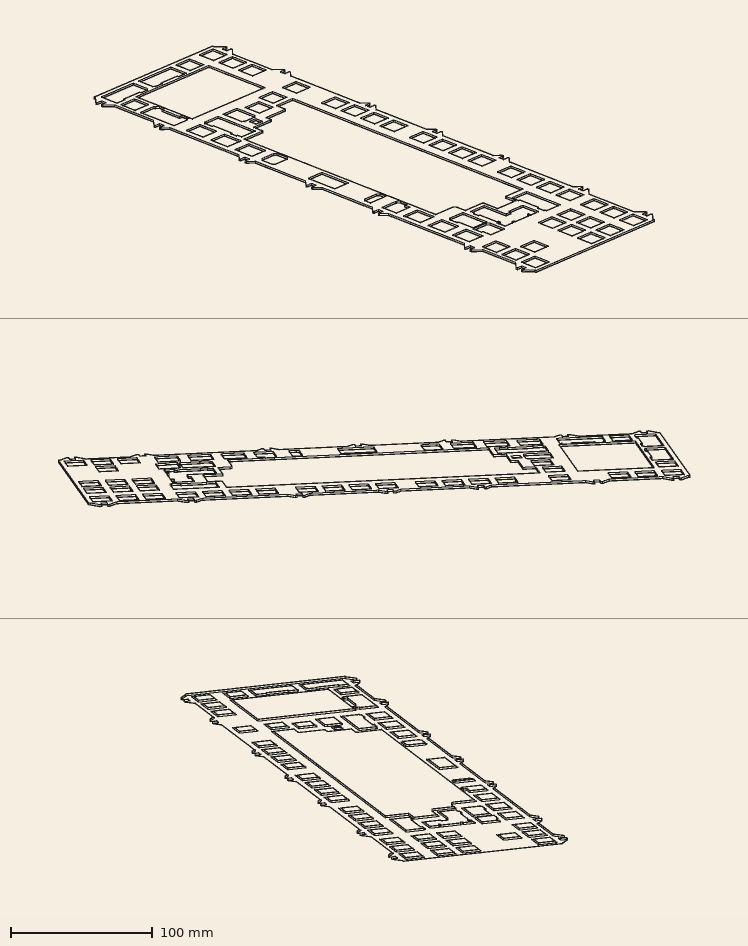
import cadquery as cq


LENGTH = 430.5
DEPTH_OVER_TABS = 132.0
THICKNESS = 1.5
END_EDGE_Y = 60.5
MIDDLE_EDGE_Y = 61.5

END_KEY_SPAN = 409.5
END_COLUMN = 10.75
PITCH = END_KEY_SPAN / (2 * END_COLUMN)
KEY_GAP = 5.0
KEY = PITCH - KEY_GAP
HALF_KEY = KEY / 2

ROW_1 = 2.625
ROW_2 = 1.375
ROW_3 = 0.375
ROW_4 = -0.625
ROW_5 = -1.625
ROW_6 = -2.625

NUMPAD_COLUMNS = [-10.75, -9.75, -8.75]
FUNCTION_COLUMNS = [-6.5, -4.5, -3.5, -2.5, -1.5, 0, 1, 2, 3, 4.5, 5.5, 6.5, 7.5]
NAVIGATION_COLUMNS = [8.75, 9.75, 10.75]
KEY_COLUMNS_BY_ROW = {
    ROW_1: NUMPAD_COLUMNS + FUNCTION_COLUMNS + NAVIGATION_COLUMNS,
    ROW_2: [-10.75, -6.5] + NAVIGATION_COLUMNS,
    ROW_3: [-6.25] + NAVIGATION_COLUMNS,
    ROW_5: [9.75],
    ROW_6: [-9.75, 3.625] + NAVIGATION_COLUMNS,
}
MODIFIER_COLUMNS = [-6.375, -5.125, -3.875, 4.75, 6, 7.25]
NUMPAD_ZERO_COLUMN = -8.25
BACKSPACE_COLUMN = 7
MODIFIER_WIDTH = 16.5
MODIFIER_SHIFT = 1.0
LEFT_MODIFIERS_X = -129.0

TAB_TIP_WIDTH = 7.0
TAB_SLOT_WIDTH = 4.5
END_TAB_X = END_KEY_SPAN / 2
SECOND_TAB_X = -148.0
MIDDLE_TAB_X = 65.0
BACK_RIGHT_TAB_X = 142.5
FRONT_RIGHT_TAB_X = 154.5
SHARED_TABS_X = [-END_TAB_X, SECOND_TAB_X, -MIDDLE_TAB_X, 0, MIDDLE_TAB_X, END_TAB_X]

OPENING_BACK_Y = 34.5
OPENING_FRONT_Y = -39.5
NUMPAD_OPENING_LEFT = -194.0
NUMPAD_OPENING_RIGHT = -139.5

DOUBLE_KEY_LENGTH = 32.7
FOOT_DEPTH = 1.5
DEEP_FOOT_DEPTH = 2.5
FOOT_CORNER = 1.7


def box(x_min, x_max, y_min, y_max):
    """Block through the sheet thickness, given by its limits in X and Y."""
    size_x = x_max - x_min
    size_y = y_max - y_min
    block = cq.Workplane("XY").box(size_x, size_y, THICKNESS, centered=False)
    return block.translate((x_min, y_min, 0))


def prism(points):
    return cq.Workplane("XY").polyline(points).close().extrude(THICKNESS)


def row_box(row, x_min, x_max):
    """Cut-out as deep as a key, lying on one key row."""
    y = row * PITCH
    return box(x_min, x_max, y - HALF_KEY, y + HALF_KEY)


def front_foot(row, x_min, x_max):
    """Shallow recess on the front side of a key row."""
    front = row * PITCH - HALF_KEY
    return box(x_min, x_max, front - FOOT_DEPTH, front + FOOT_DEPTH)


def back_foot(row, x_min, x_max):
    """Deeper recess on the back side of a key row."""
    back = row * PITCH + HALF_KEY
    return box(x_min, x_max, back - FOOT_DEPTH, back + DEEP_FOOT_DEPTH)


def edge_tabs(side, positions):
    """Slotted 45 degree tabs on the back (side = 1) or front (side = -1) edge."""
    tip_y = DEPTH_OVER_TABS / 2
    half_tip = TAB_TIP_WIDTH / 2
    half_base = half_tip + tip_y - END_EDGE_Y
    half_slot = TAB_SLOT_WIDTH / 2
    profile = [
        (-half_base, END_EDGE_Y),
        (-half_tip, tip_y),
        (-half_slot, tip_y),
        (-half_slot, MIDDLE_EDGE_Y),
        (half_slot, MIDDLE_EDGE_Y),
        (half_slot, tip_y),
        (half_tip, tip_y),
        (half_base, END_EDGE_Y),
    ]
    return [prism([(x + dx, side * y) for dx, y in profile]) for x in positions]


def sheet():
    half_length = LENGTH / 2
    body = box(-half_length, half_length, -END_EDGE_Y, END_EDGE_Y)
    body = body.union(box(SECOND_TAB_X, BACK_RIGHT_TAB_X, 0, MIDDLE_EDGE_Y))
    body = body.union(box(SECOND_TAB_X, FRONT_RIGHT_TAB_X, -MIDDLE_EDGE_Y, 0))
    tabs = edge_tabs(1, SHARED_TABS_X + [BACK_RIGHT_TAB_X])
    tabs += edge_tabs(-1, SHARED_TABS_X + [FRONT_RIGHT_TAB_X])
    for tab in tabs:
        body = body.union(tab)
    return body


def key_holes():
    centres = [(c * PITCH, row * PITCH) for row, columns in KEY_COLUMNS_BY_ROW.items() for c in columns]
    return cq.Workplane("XY").pushPoints(centres).rect(KEY, KEY).extrude(THICKNESS)


def modifier_holes():
    centres = [(column * PITCH + MODIFIER_SHIFT, ROW_6 * PITCH) for column in MODIFIER_COLUMNS]
    return cq.Workplane("XY").pushPoints(centres).rect(MODIFIER_WIDTH, KEY).extrude(THICKNESS)


def numpad_opening():
    return box(NUMPAD_OPENING_LEFT, NUMPAD_OPENING_RIGHT, OPENING_FRONT_Y, OPENING_BACK_Y)


def main_opening():
    """Large opening whose stepped ends follow the stagger of the key rows."""
    left_row_2_x, left_row_3_x, left_row_4_x, left_row_5_x = -112.5, -103.5, -98.0, -89.0
    right_row_2_x, right_row_3_x, right_row_4_x, right_row_5_x = 112.0, 122.5, 108.0, 97.8
    left_row_2_front = 17.5
    right_row_2_front = 17.0
    row_3_front = -2.0
    row_4_front = -20.2
    left_steps = [
        (left_row_2_x, OPENING_BACK_Y),
        (left_row_2_x, left_row_2_front),
        (left_row_3_x, left_row_2_front),
        (left_row_3_x, row_3_front),
        (left_row_4_x, row_3_front),
        (left_row_4_x, row_4_front),
        (left_row_5_x, row_4_front),
        (left_row_5_x, OPENING_FRONT_Y),
    ]
    right_steps = [
        (right_row_5_x, OPENING_FRONT_Y),
        (right_row_5_x, row_4_front - FOOT_CORNER),
        (right_row_5_x + FOOT_CORNER, row_4_front),
        (right_row_4_x, row_4_front),
        (right_row_4_x, row_3_front),
        (right_row_3_x, row_3_front),
        (right_row_3_x, right_row_2_front),
        (right_row_2_x, right_row_2_front),
        (right_row_2_x, OPENING_BACK_Y),
    ]
    return prism(left_steps + right_steps)


def upright_double_key(row, bevelled_edge):
    """Two-row key at the left end, with a stabiliser foot at each end of its right side."""
    foot_length = 8.0
    x = -END_COLUMN * PITCH
    y = row * PITCH
    half_length = DOUBLE_KEY_LENGTH / 2
    right = x + HALF_KEY + FOOT_DEPTH
    hole = box(x - HALF_KEY, right, y - half_length, y + half_length)
    hole = hole.edges(bevelled_edge).chamfer(FOOT_CORNER)
    foot_inner = half_length - foot_length
    return hole.cut(box(x + HALF_KEY, right, y - foot_inner, y + foot_inner))


def numpad_zero():
    x = NUMPAD_ZERO_COLUMN * PITCH
    half_length = DOUBLE_KEY_LENGTH / 2
    foot_outer = 15.0
    foot_inner = 8.5
    hole = row_box(ROW_6, x - half_length, x + half_length)
    left_foot = back_foot(ROW_6, x - foot_outer, x - foot_inner)
    left_foot = left_foot.edges("|Z and <X and >Y").chamfer(FOOT_CORNER)
    right_foot = back_foot(ROW_6, x + foot_inner, x + foot_outer)
    return hole.union(left_foot).union(right_foot)


def backspace():
    x = BACKSPACE_COLUMN * PITCH
    half_length = DOUBLE_KEY_LENGTH / 2
    foot_length = 6.5
    left_end = x - half_length
    right_foot_end = x + half_length - FOOT_DEPTH
    hole = row_box(ROW_2, left_end, x + half_length)
    hole = hole.union(front_foot(ROW_2, left_end, left_end + foot_length))
    return hole.union(front_foot(ROW_2, right_foot_end - foot_length, right_foot_end))


def caps_lock():
    right = -110.0
    window_left = -107.2
    window_back = -8.5
    window_size = 6.5
    key = row_box(ROW_4, LEFT_MODIFIERS_X, right)
    key = key.edges("|Z and >X").chamfer(FOOT_CORNER)
    window = box(window_left, window_left + window_size, window_back - window_size, window_back)
    return key.union(window)


def left_shift():
    right = -93.0
    left_foot_start = LEFT_MODIFIERS_X + FOOT_DEPTH
    left_foot_length = 7.5
    right_foot_start = -102.5
    right_foot_length = 5.5
    hole = row_box(ROW_5, LEFT_MODIFIERS_X, right)
    hole = hole.union(front_foot(ROW_5, left_foot_start, left_foot_start + left_foot_length))
    return hole.union(front_foot(ROW_5, right_foot_start, right_foot_start + right_foot_length))


def right_shift():
    """Two neighbouring cut-outs parted by a thin web."""
    left = 109.5
    web_left = 132.5
    web_right = 134.0
    right = 150.0
    left_foot_start = left + FOOT_DEPTH
    left_foot_length = 7.5
    right_foot_length = 8.0
    key = row_box(ROW_5, left, web_left)
    key = key.union(front_foot(ROW_5, left_foot_start, left_foot_start + left_foot_length))
    stabiliser = row_box(ROW_5, web_right, right)
    stabiliser = stabiliser.edges("|Z and <X and >Y").chamfer(FOOT_CORNER)
    stabiliser = stabiliser.union(front_foot(ROW_5, web_right, web_right + right_foot_length))
    return key.union(stabiliser)


def enter_key():
    """Stepped cut-out over two rows, with small spurs left on its right and front walls."""
    back_left = 131.5
    neck_left = 133.0
    front_left = 112.0
    right = 147.0
    left_foot_start = 116.0
    left_foot_length = 5.0
    right_foot_start = 139.0
    row_3_front = ROW_3 * PITCH - HALF_KEY
    row_4_back = ROW_4 * PITCH + HALF_KEY
    row_4_front = ROW_4 * PITCH - HALF_KEY
    hole = row_box(ROW_3, back_left, right)
    hole = hole.union(box(neck_left, right, row_4_back, row_3_front))
    hole = hole.union(row_box(ROW_4, front_left, right))
    hole = hole.union(front_foot(ROW_4, left_foot_start, left_foot_start + left_foot_length))
    hole = hole.union(front_foot(ROW_4, right_foot_start, right))

    back_spur_length = 2.5
    back_spur_width = 1.0
    back_spur_y = 5.5
    middle_spur_length = 1.7
    middle_spur_width = 1.7
    middle_spur_y = -11.0
    front_spur_left = 138.0
    front_spur_width = 2.0
    spurs = [
        box(right - back_spur_length, right, back_spur_y, back_spur_y + back_spur_width),
        box(right - middle_spur_length, right, middle_spur_y, middle_spur_y + middle_spur_width),
        box(front_spur_left, front_spur_left + front_spur_width, row_4_front, row_4_front + FOOT_DEPTH),
    ]
    for spur in spurs:
        hole = hole.cut(spur)
    return hole


def space_bar():
    """Switch hole with a separate stabiliser window on each side."""
    switch_left = -10.0
    switch_right = 16.0
    left_window_start = -57.0
    left_window_end = -43.5
    right_window_start = 43.5
    right_window_end = 51.0
    window_back = -41.5
    window_front = ROW_6 * PITCH - HALF_KEY
    switch = row_box(ROW_6, switch_left, switch_right)
    left_window = box(left_window_start, left_window_end, window_front, window_back)
    left_window = left_window.edges("|Z").chamfer(FOOT_CORNER)
    right_window = box(right_window_start, right_window_end, window_front, window_back)
    right_window = right_window.edges("|Z and <X").chamfer(FOOT_CORNER)
    return switch.union(left_window).union(right_window)


def right_of_space_foot():
    """Recess behind the first key to the right of the space bar."""
    foot_left = 62.5
    foot_right = 70.5
    return back_foot(ROW_6, foot_left, foot_right).edges("|Z and <X and >Y").chamfer(FOOT_CORNER)


cutouts = [
    key_holes(),
    modifier_holes(),
    numpad_opening(),
    main_opening(),
    upright_double_key((ROW_3 + ROW_4) / 2, "|Z and >X and <Y"),
    upright_double_key((ROW_5 + ROW_6) / 2, "|Z and >X and >Y"),
    numpad_zero(),
    backspace(),
    caps_lock(),
    left_shift(),
    right_shift(),
    enter_key(),
    space_bar(),
    right_of_space_foot(),
]

result = sheet()
for cutout in cutouts:
    result = result.cut(cutout)